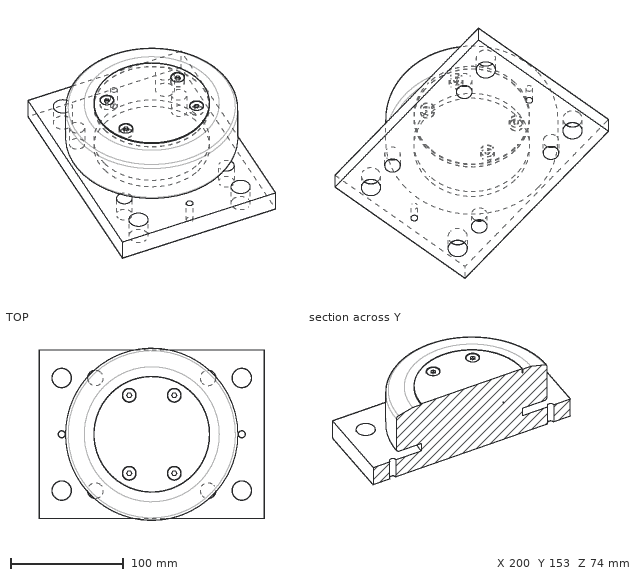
import cadquery as cq
import math

plate_length = 200
plate_width = 150
plate_height = 20
mount_x = 80
mount_y = 50
mount_diameter = 17.0
pin_diameter = 6
inner_hole_offset = 50
inner_hole_diameter = 13.8

neck_diameter = 103.0
roller_diameter = 153.0
roller_bottom = 28
roller_top = 73.2
roller_flat_diameter = 120
crown_angle = 15
rim_fillet = 3.0

cap_diameter = 102.5
total_height = 74
groove_outer_diameter = 103.0
groove_depth = 4

screw_circle_radius = 40
screw_angle = 60
screw_recess_diameter = 12.5
screw_recess_depth = 6
screw_head_diameter = 11.5
screw_head_drop = 0.5
socket_across_flats = 4
socket_depth = 2
socket_sides = 6


def disc(diameter, bottom, top):
    """Vertical cylinder on the main axis."""
    return cq.Workplane("XY").workplane(offset=bottom).circle(diameter / 2).extrude(top - bottom)


def corner_points(x, y):
    """The four points mirrored about both axes."""
    return [(sx * x, sy * y) for sx in (-1, 1) for sy in (-1, 1)]


def plate_holes(diameter, points):
    """Cutting cylinders through the full plate height."""
    return cq.Workplane("XY").pushPoints(points).circle(diameter / 2).extrude(plate_height)


def make_plate():
    """Plate with mounting, pin and inner holes; the roller partly covers the inner ones."""
    plate = cq.Workplane("XY").box(plate_length, plate_width, plate_height, centered=(True, True, False))
    plate = plate.cut(plate_holes(mount_diameter, corner_points(mount_x, mount_y)))
    plate = plate.cut(plate_holes(pin_diameter, [(-mount_x, 0), (mount_x, 0)]))
    return plate.cut(plate_holes(inner_hole_diameter, corner_points(inner_hole_offset, inner_hole_offset)))


def make_roller():
    """Solid of revolution with a conical crown and rounded rims."""
    outer = roller_diameter / 2
    flat = roller_flat_diameter / 2
    shoulder = roller_top - (outer - flat) * math.tan(math.radians(crown_angle))
    profile = [(0, roller_bottom), (outer, roller_bottom), (outer, shoulder), (flat, roller_top), (0, roller_top)]
    body = cq.Workplane("XZ").polyline(profile).close().revolve(360, (0, 0), (0, 1))
    rims = cq.selectors.RadiusNthSelector(-1)
    return body.edges("%CIRCLE").edges(rims).fillet(rim_fillet)


def make_screw_recesses(body):
    """Cut the counterbores, then put a socket head screw in each one."""
    angle = math.radians(screw_angle)
    points = corner_points(screw_circle_radius * math.cos(angle), screw_circle_radius * math.sin(angle))
    recess_floor = total_height - screw_recess_depth
    head_top = total_height - screw_head_drop
    socket_floor = head_top - socket_depth
    socket_across_corners = socket_across_flats / math.cos(math.pi / socket_sides)

    floor_plane = cq.Workplane("XY").workplane(offset=recess_floor).pushPoints(points)
    recesses = floor_plane.circle(screw_recess_diameter / 2).extrude(screw_recess_depth)
    heads = floor_plane.circle(screw_head_diameter / 2).extrude(head_top - recess_floor)
    socket_plane = cq.Workplane("XY").workplane(offset=socket_floor).pushPoints(points)
    sockets = socket_plane.polygon(socket_sides, socket_across_corners).extrude(socket_depth)
    return body.cut(recesses).union(heads).cut(sockets)


neck = disc(neck_diameter, plate_height, roller_bottom)
cap = disc(cap_diameter, roller_top - groove_depth, total_height)
groove = disc(groove_outer_diameter, roller_top - groove_depth, roller_top)

result = make_plate().union(neck).union(make_roller().cut(groove)).union(cap)
result = make_screw_recesses(result)